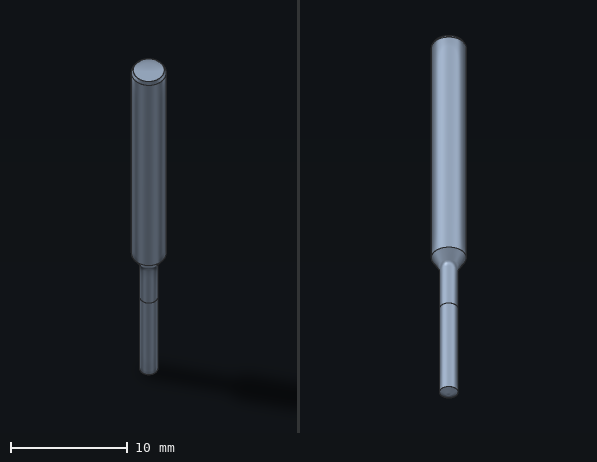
import cadquery as cq
import math

total_length = 38.0
shank_diameter = 3.0
drill_diameter = 1.6
cutting_length = 9.42
shoulder_height = 14.95
end_chamfer_width = 0.17
end_chamfer_height = 0.3
taper_half_angle = math.radians(30)
point_half_angle = math.radians(65)
neck_fillet_radius = 1.0

shank_radius = shank_diameter / 2
drill_radius = drill_diameter / 2
point_height = drill_radius / math.tan(point_half_angle)


def fillet_point(angle, neck_end):
    """Point on the concave neck fillet after it has turned by the given angle."""
    radius = drill_radius + neck_fillet_radius * (1 - math.cos(angle))
    height = neck_end + neck_fillet_radius * math.sin(angle)
    return radius, height


def make_shank():
    """Chamfered shank that tapers through a fillet into the upper neck."""
    fillet_height = neck_fillet_radius * math.sin(taper_half_angle)
    taper_end_radius = fillet_point(taper_half_angle, 0)[0]
    taper_height = (shank_radius - taper_end_radius) / math.tan(taper_half_angle)
    neck_end = shoulder_height - taper_height - fillet_height
    return (
        cq.Workplane("XZ")
        .moveTo(0, cutting_length)
        .lineTo(drill_radius, cutting_length)
        .lineTo(drill_radius, neck_end)
        .threePointArc(fillet_point(taper_half_angle / 2, neck_end), fillet_point(taper_half_angle, neck_end))
        .lineTo(shank_radius, shoulder_height)
        .lineTo(shank_radius, total_length - end_chamfer_height)
        .lineTo(shank_radius - end_chamfer_width, total_length)
        .lineTo(0, total_length)
        .close()
        .revolve(360, (0, 0, 0), (0, 1, 0))
    )


def make_cutting_part():
    """Cylindrical cutting part with a conical point."""
    return (
        cq.Workplane("XZ")
        .moveTo(0, 0)
        .lineTo(drill_radius, point_height)
        .lineTo(drill_radius, cutting_length)
        .lineTo(0, cutting_length)
        .close()
        .revolve(360, (0, 0, 0), (0, 1, 0))
    )


shank = make_shank()
cutting_part = make_cutting_part()

result = cq.Compound.makeCompound([shank.val(), cutting_part.val()])